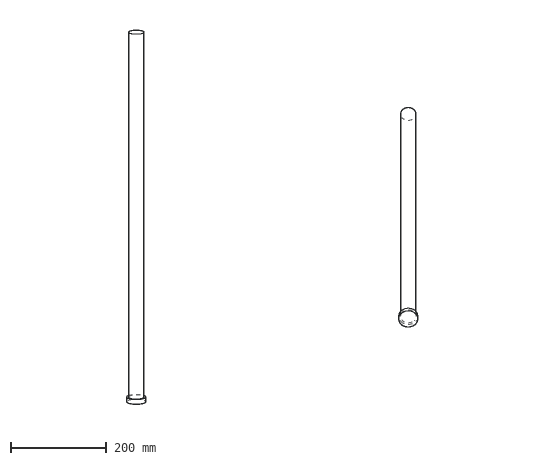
import cadquery as cq

total_length = 800.0
head_diameter = 40.0
head_height = 10.0
shaft_diameter = 32.0

head = cq.Workplane("XY").circle(head_diameter / 2).extrude(head_height)
shaft = cq.Workplane("XY").circle(shaft_diameter / 2).extrude(total_length)

result = head.union(shaft)